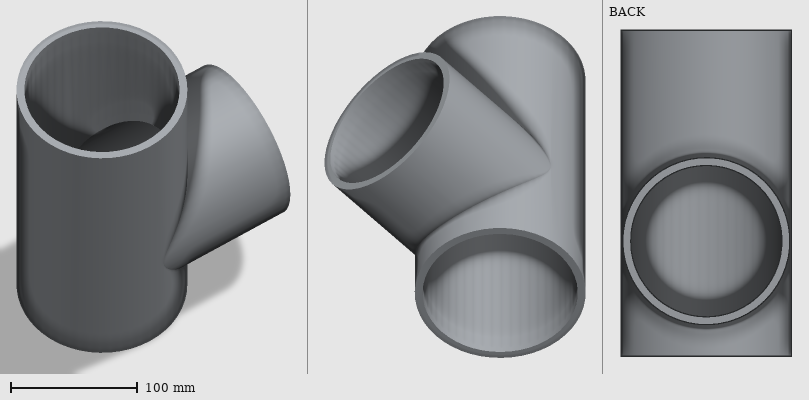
import cadquery as cq

main_length = 257.7
main_diameter = 135.0
wall = 6.2

branch_diameter = 132.0
branch_reach = 135.0
branch_height = 91.0


def main_cylinder(diameter):
    """Full-length cylinder on the main pipe axis."""
    return cq.Workplane("XY").circle(diameter / 2).extrude(main_length)


def branch_cylinder(diameter):
    """Cylinder from the main axis out to the branch end face."""
    plane = cq.Workplane("XZ", origin=(0, 0, branch_height))
    return plane.circle(diameter / 2).extrude(-branch_reach)


outer = main_cylinder(main_diameter).union(branch_cylinder(branch_diameter))
main_bore = main_cylinder(main_diameter - 2 * wall)
branch_bore = branch_cylinder(branch_diameter - 2 * wall)

result = outer.cut(main_bore).cut(branch_bore)